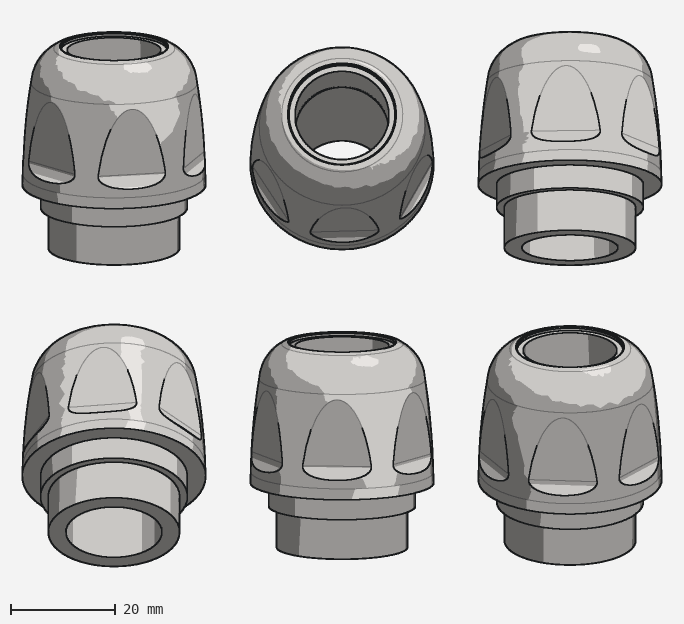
import cadquery as cq
import math

height = 39.78
spigot_top = 7.95
flange_bottom = 12.5
skirt_bottom = 14.65
skirt_top = 32.65
rim_start = 39.4
rim_shoulder_height = 39.65

spigot_radius = 12.55
collar_radius = 14.0
flange_radius = 17.5
skirt_base_radius = 17.42
skirt_mid_radius = 16.95
shoulder_radius = 15.85
rim_outer_radius = 11.55
rim_shoulder_radius = 10.98

rim_inner_radius = 10.35
seat_radius = 10.1
seat_height = 39.05
bore_radius = 8.95
bore_step_height = 30.2
lower_bore_radius = 9.15

dome_bulge = 1.05

flat_count = 6
flat_distance = 16.0
flat_bottom = 18.78
runout_radius = 3.02
cutter_width = 15.9
cutter_depth = 3.98


def dome_midpoint():
    """Middle of the dome arc, in radius and height."""
    run = shoulder_radius - rim_outer_radius
    rise = rim_start - skirt_top
    chord = math.hypot(run, rise)
    radius = (shoulder_radius + rim_outer_radius) / 2 + dome_bulge * rise / chord
    level = (skirt_top + rim_start) / 2 + dome_bulge * run / chord
    return radius, level


def revolved_body():
    """Nut and stepped spigot with the through bore, revolved about Z."""
    profile = (
        cq.Workplane("XZ")
        .moveTo(lower_bore_radius, 0)
        .lineTo(spigot_radius, 0)
        .lineTo(spigot_radius, spigot_top)
        .lineTo(collar_radius, spigot_top)
        .lineTo(collar_radius, flange_bottom)
        .lineTo(flange_radius, flange_bottom)
        .lineTo(skirt_base_radius, skirt_bottom)
        .threePointArc(
            (skirt_mid_radius, (skirt_bottom + skirt_top) / 2),
            (shoulder_radius, skirt_top),
        )
        .threePointArc(dome_midpoint(), (rim_outer_radius, rim_start))
        .threePointArc((rim_shoulder_radius, rim_shoulder_height), (rim_inner_radius, height))
        .lineTo(seat_radius, height - (rim_inner_radius - seat_radius))
        .lineTo(seat_radius, seat_height)
        .lineTo(bore_radius, seat_height)
        .lineTo(bore_radius, bore_step_height)
        .lineTo(lower_bore_radius, bore_step_height)
        .close()
    )
    return profile.revolve(360, (0, 0, 0), (0, 1, 0))


def flat_cutter():
    """Cutter for the flat facing +Y, with a concave runout at its lower end."""
    outer = flat_distance + cutter_depth
    return (
        cq.Workplane("YZ")
        .moveTo(flat_distance, height)
        .lineTo(flat_distance, flat_bottom)
        .radiusArc((flat_distance + runout_radius, flat_bottom - runout_radius), -runout_radius)
        .lineTo(outer, flat_bottom - runout_radius)
        .lineTo(outer, height)
        .close()
        .extrude(cutter_width / 2, both=True)
    )


result = revolved_body()
for index in range(flat_count):
    angle = index * 360 / flat_count
    result = result.cut(flat_cutter().rotate((0, 0, 0), (0, 0, 1), angle))